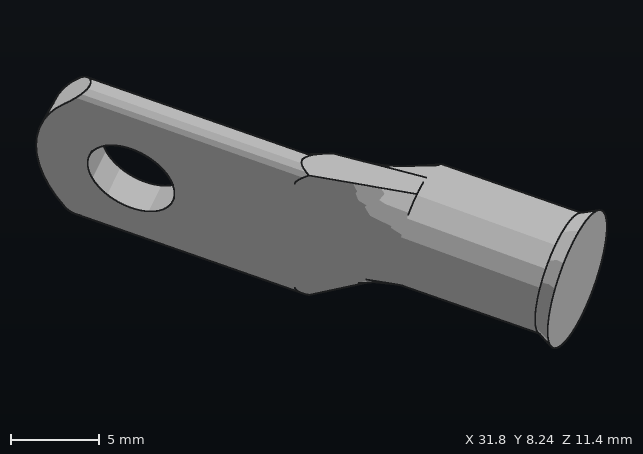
import cadquery as cq
import math

barrel_radius = 3.615
barrel_length = 9.6
flare_radius = 4.12
flare_length = 1.0

tongue_length = 15.96
tongue_width = 11.43
tongue_thickness = 2.03
tip_radius = 7.15
hole_diameter = 5.36
hole_from_tip = 5.86

overall_length = 31.79

flank_half_depth = 0.65

barrel_end = overall_length
barrel_start = barrel_end - barrel_length
flare_start = barrel_end - flare_length
tongue_front = -barrel_radius
tongue_back = tongue_front + tongue_thickness
tongue_middle = tongue_front + tongue_thickness / 2
half_width = tongue_width / 2
edge_radius = tongue_thickness / 2
flat_half_width = half_width - edge_radius

back_arc_half_angle = math.acos(flank_half_depth / barrel_radius)
back_line_angle = back_arc_half_angle * flat_half_width / half_width
back_edge_rise = barrel_radius * math.cos(back_line_angle) - tongue_back


def section_plane(x):
    """Plane across the part at x, with local x along Y and local y along Z."""
    return cq.Plane(origin=(x, 0, 0), xDir=(0, 1, 0), normal=(1, 0, 0))


def tongue_section(x):
    """Plate cross-section with both long edges rounded."""
    return (
        cq.Workplane(section_plane(x))
        .moveTo(tongue_front, -flat_half_width)
        .lineTo(tongue_front, flat_half_width)
        .threePointArc((tongue_middle, half_width), (tongue_back, flat_half_width))
        .lineTo(tongue_back, -flat_half_width)
        .threePointArc((tongue_middle, -half_width), (tongue_front, -flat_half_width))
        .close()
    )


def square_section(x):
    """Plate cross-section before its long edges are rounded."""
    return (
        cq.Workplane(section_plane(x))
        .moveTo(tongue_front, -half_width)
        .lineTo(tongue_front, half_width)
        .lineTo(tongue_back, half_width)
        .lineTo(tongue_back, -half_width)
        .close()
    )


def barrel_section(x):
    """Barrel circle, split into the four arcs joined to the plate's four sides."""
    flank_z = math.sqrt(barrel_radius**2 - flank_half_depth**2)
    return (
        cq.Workplane(section_plane(x))
        .moveTo(-flank_half_depth, -flank_z)
        .threePointArc((-barrel_radius, 0), (-flank_half_depth, flank_z))
        .threePointArc((0, barrel_radius), (flank_half_depth, flank_z))
        .threePointArc((barrel_radius, 0), (flank_half_depth, -flank_z))
        .threePointArc((0, -barrel_radius), (-flank_half_depth, -flank_z))
        .close()
    )


def make_tongue():
    """Rounded-edge plate with an arc-shaped tip and a through hole."""
    plate = tongue_section(0).extrude(tongue_length)
    tip_corner = tip_radius - math.sqrt(tip_radius**2 - half_width**2)
    outline = (
        cq.Workplane("XZ", origin=(0, tongue_back, 0))
        .moveTo(tongue_length, -half_width)
        .lineTo(tip_corner, -half_width)
        .threePointArc((0, 0), (tip_corner, half_width))
        .lineTo(tongue_length, half_width)
        .close()
        .extrude(tongue_thickness)
    )
    hole = (
        cq.Workplane("XZ", origin=(hole_from_tip, tongue_back, 0))
        .circle(hole_diameter / 2)
        .extrude(tongue_thickness)
    )
    return plate.intersect(outline).cut(hole)


def corner_trim(outer_y, side, rise):
    """Prism outside one rounded plate edge, carried past the tongue while climbing by rise in Y."""
    arc_offset = edge_radius * math.sin(math.radians(45))
    arc_offset_y = math.copysign(arc_offset, outer_y - tongue_middle)
    outline = (
        cq.Workplane(section_plane(tongue_length))
        .moveTo(tongue_middle, side * half_width)
        .lineTo(outer_y, side * half_width)
        .lineTo(outer_y, side * flat_half_width)
        .threePointArc(
            (tongue_middle + arc_offset_y, side * (flat_half_width + arc_offset)),
            (tongue_middle, side * half_width),
        )
        .close()
        .val()
    )
    travel = cq.Vector(barrel_start - tongue_length, rise, 0)
    return cq.Workplane(cq.Solid.extrudeLinear(outline, [], travel))


def make_transition():
    """Straight-sided loft from the square plate outline to the barrel circle."""
    plate_outline = square_section(tongue_length).val()
    barrel_outline = barrel_section(barrel_start).val()
    loft = cq.Workplane(cq.Solid.makeLoft([plate_outline, barrel_outline], True))
    for side in (1, -1):
        loft = loft.cut(corner_trim(tongue_front, side, 0))
        loft = loft.cut(corner_trim(tongue_back, side, back_edge_rise))
    return loft


def make_barrel():
    """Round barrel with its free end flared outwards."""
    return (
        cq.Workplane("XY")
        .moveTo(barrel_start, 0)
        .lineTo(barrel_start, barrel_radius)
        .lineTo(flare_start, barrel_radius)
        .lineTo(barrel_end, flare_radius)
        .lineTo(barrel_end, 0)
        .close()
        .revolve(360, (0, 0, 0), (1, 0, 0))
    )


result = make_tongue().union(make_transition()).union(make_barrel())